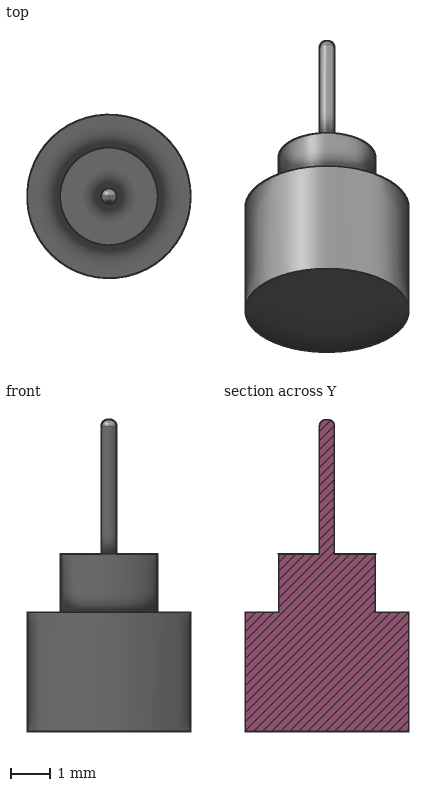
import cadquery as cq

total_height = 8.0

body_diameter = 4.2
body_height = 3.06
collar_diameter = 2.5
collar_height = 1.5

pin_diameter = 0.4
tip_rounding = 0.18

collar_top = body_height + collar_height


def cylinder(diameter, bottom, top):
    """Upright cylinder on the Z axis between two heights."""
    return cq.Workplane("XY").workplane(offset=bottom).circle(diameter / 2).extrude(top - bottom)


body = cylinder(body_diameter, 0, body_height)
collar = cylinder(collar_diameter, body_height, collar_top)
pin = cylinder(pin_diameter, collar_top, total_height).faces(">Z").edges().fillet(tip_rounding)

result = body.union(collar).union(pin)